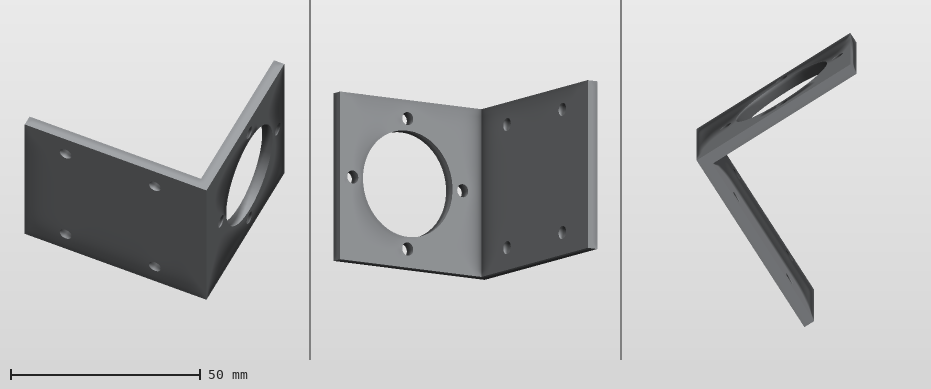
import cadquery as cq

length_x = 53
length_y = 48.0
height = 45.0
thickness = 3.0

screw_diameter = 3.5

front_hole_spacing_x = 26.0
front_hole_spacing_z = 33.0
front_pattern_x = 24.95

opening_diameter = 28.5
opening_y = 26.5
bolt_circle_diameter = 35
bolt_count = 4

front_plate = cq.Workplane("XY").box(length_x, thickness, height, centered=False)
side_plate = (
    cq.Workplane("XY")
    .box(thickness, length_y, height, centered=False)
    .translate((length_x - thickness, 0, 0))
)
bracket = front_plate.union(side_plate)

front_holes = (
    cq.Workplane("XZ")
    .center(front_pattern_x, height / 2)
    .rarray(front_hole_spacing_x, front_hole_spacing_z, 2, 2)
    .circle(screw_diameter / 2)
    .extrude(-thickness)
)

side_face = (
    cq.Workplane("YZ", origin=(length_x - thickness, 0, 0))
    .center(opening_y, height / 2)
)
opening = side_face.circle(opening_diameter / 2).extrude(thickness)
side_holes = (
    side_face.polarArray(bolt_circle_diameter / 2, 0, 360, bolt_count)
    .circle(screw_diameter / 2)
    .extrude(thickness)
)

result = bracket.cut(front_holes).cut(opening).cut(side_holes)